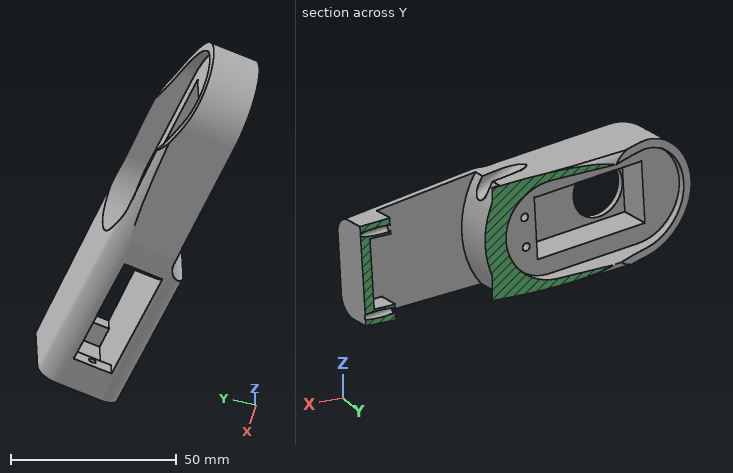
import cadquery as cq
import math

TILT = 3.5
YAW = 9.7

LOBE_RADIUS = 19.0
LENGTH = 95.9
BACK = 20.8
BLOCK_FRONT = -6.0
WALL = 2.2
MARGIN = 11.7

TAPER_START = 41.3
TAPER_ANGLE = 2.6
EDGE_RADIUS = 6.0

STEP_START = 43.2
STEP_RADIUS = -BLOCK_FRONT

END_THICKNESS = 15.1
BACK_ARC_RADIUS = 89.2

HOLE_DIAMETER = 18.0
HOLE_X = 6.3

RECESS_RADIUS = 16.2
RECESS_FAR_CENTER = 32.4
RECESS_FLOOR = 12.8
POCKET_START = -2.9
POCKET_END = 36.6
POCKET_HEIGHT = 20.5
SCREW_DIAMETER = 2.6
SCREW_X = 40.5
SCREW_SPACING = 9.9
SCREW_DEPTH = 5.9

WINDOW_START, WINDOW_END = 49.5, 86.0
WINDOW_FRONT, WINDOW_BACK = 0.9, 13.5
BULGE = 6.1
UNDERCUT_END = 92.8
LIP_HEIGHT = 5.4
PIN_DIAMETER = 2.2
PIN_DEPTH = 3.4

CHANNEL_WIDTH = 5.3
CHANNEL_X = 43.1
CHANNEL_Y = 7.4
CHANNEL_ANGLE = 20.0


def box(x_range, y_range, z_range):
    """Box between the given limits on each axis."""
    spans = [high - low for low, high in (x_range, y_range, z_range)]
    corner = (x_range[0], y_range[0], z_range[0])
    return cq.Workplane("XY").box(*spans, centered=False).translate(corner)


def prism(outline, front, back):
    """Extrude an XZ outline from Y = front to Y = back."""
    return outline.extrude(front - back).translate((0, front, 0))


def half_height(x):
    """Half height of the tapered block at a given X."""
    return LOBE_RADIUS - (x - TAPER_START) * math.tan(math.radians(TAPER_ANGLE))


def lobe():
    """Parallel-sided body with one round end."""
    outline = (
        cq.Workplane("XZ")
        .moveTo(0, LOBE_RADIUS)
        .lineTo(LENGTH, LOBE_RADIUS)
        .lineTo(LENGTH, -LOBE_RADIUS)
        .lineTo(0, -LOBE_RADIUS)
        .threePointArc((-LOBE_RADIUS, 0), (0, LOBE_RADIUS))
        .close()
    )
    return prism(outline, BLOCK_FRONT, BACK)


def tapered_block():
    """Wedge with rounded long edges that trims the lobe."""
    start = -LOBE_RADIUS - MARGIN
    outline = cq.Workplane("XZ").polyline([
        (start, half_height(start)),
        (LENGTH, half_height(LENGTH)),
        (LENGTH, -half_height(LENGTH)),
        (start, -half_height(start)),
    ]).close()
    block = prism(outline, BLOCK_FRONT, BACK)
    long_edges = block.faces("<Y or >Y").edges("not(|Z)")
    return block.newObject(long_edges.vals()).fillet(EDGE_RADIUS)


def front_clearance():
    """Space in front of the lobe, ending in a concave step to the block."""
    near = -LOBE_RADIUS - MARGIN
    bend = STEP_RADIUS * math.sqrt(0.5)
    arc_middle = (STEP_START + bend, BLOCK_FRONT + bend)
    arc_end = (STEP_START + STEP_RADIUS, BLOCK_FRONT)
    return (
        cq.Workplane("XY")
        .moveTo(near, 0)
        .lineTo(STEP_START, 0)
        .threePointArc(arc_middle, arc_end)
        .lineTo(near, BLOCK_FRONT)
        .close()
        .extrude(LOBE_RADIUS + MARGIN, both=True)
    )


def back_clearance():
    """Cylinder that sweeps the back face down to the thin round end."""
    return (
        cq.Workplane("XY")
        .center(-LOBE_RADIUS, END_THICKNESS + BACK_ARC_RADIUS)
        .circle(BACK_ARC_RADIUS)
        .extrude(LOBE_RADIUS + MARGIN, both=True)
    )


def back_recess():
    """Slot-shaped recess, deeper pocket in its floor, and two screw holes."""
    slot = cq.Workplane("XZ").center(RECESS_FAR_CENTER / 2, 0).slot2D(
        RECESS_FAR_CENTER + 2 * RECESS_RADIUS, 2 * RECESS_RADIUS
    )
    recess = prism(slot, RECESS_FLOOR, BACK + MARGIN)
    half = POCKET_HEIGHT / 2
    pocket = box((POCKET_START, POCKET_END), (WALL, RECESS_FLOOR), (-half, half))
    screw_points = [(SCREW_X, side * SCREW_SPACING / 2) for side in (-1, 1)]
    circles = cq.Workplane("XZ").pushPoints(screw_points).circle(SCREW_DIAMETER / 2)
    screws = prism(circles, RECESS_FLOOR - SCREW_DEPTH, RECESS_FLOOR)
    return recess.union(pocket).union(screws)


def front_hole():
    outline = cq.Workplane("XZ").center(HOLE_X, 0).circle(HOLE_DIAMETER / 2)
    return prism(outline, -MARGIN, RECESS_FLOOR)


def window():
    """Through window with a bowed near wall, an undercut end wall and pin holes."""
    reach = half_height(WINDOW_START)
    outline = (
        cq.Workplane("XZ")
        .moveTo(WINDOW_START, reach)
        .lineTo(WINDOW_END, reach)
        .lineTo(WINDOW_END, -reach)
        .lineTo(WINDOW_START, -reach)
        .threePointArc((WINDOW_START + BULGE, 0), (WINDOW_START, reach))
        .close()
    )
    opening = prism(outline, WINDOW_FRONT, WINDOW_BACK)
    lip = half_height(WINDOW_END) - LIP_HEIGHT
    undercut = box((WINDOW_END, UNDERCUT_END), (WINDOW_FRONT, WINDOW_BACK), (-lip, lip))
    middle = (WINDOW_FRONT + WINDOW_BACK) / 2
    pin_height = half_height(WINDOW_END) - PIN_DEPTH
    pins = (
        cq.Workplane("YZ", origin=(WINDOW_END, 0, 0))
        .pushPoints([(middle, pin_height), (middle, -pin_height)])
        .circle(PIN_DIAMETER / 2)
        .extrude(LENGTH + MARGIN - WINDOW_END)
    )
    return opening.union(undercut).union(pins)


def cable_channel():
    """Open round-bottomed channel that slopes down into the window."""
    channel_end = WINDOW_START + BULGE + CHANNEL_WIDTH
    run = (channel_end - CHANNEL_X) / math.cos(math.radians(CHANNEL_ANGLE))
    radius = CHANNEL_WIDTH / 2
    channel = (
        cq.Workplane("YZ", origin=(-MARGIN, 0, 0))
        .moveTo(-radius, MARGIN)
        .lineTo(-radius, 0)
        .threePointArc((0, -radius), (radius, 0))
        .lineTo(radius, MARGIN)
        .close()
        .extrude(MARGIN + run)
    )
    sloped = channel.rotate((0, 0, 0), (0, 1, 0), CHANNEL_ANGLE)
    return sloped.translate((CHANNEL_X, CHANNEL_Y, LOBE_RADIUS))


body = lobe().intersect(tapered_block())
for cutter in (front_clearance, back_clearance, back_recess, front_hole, window, cable_channel):
    body = body.cut(cutter())

result = body.rotate((0, 0, 0), (0, 1, 0), TILT).rotate((0, 0, 0), (0, 0, 1), YAW)